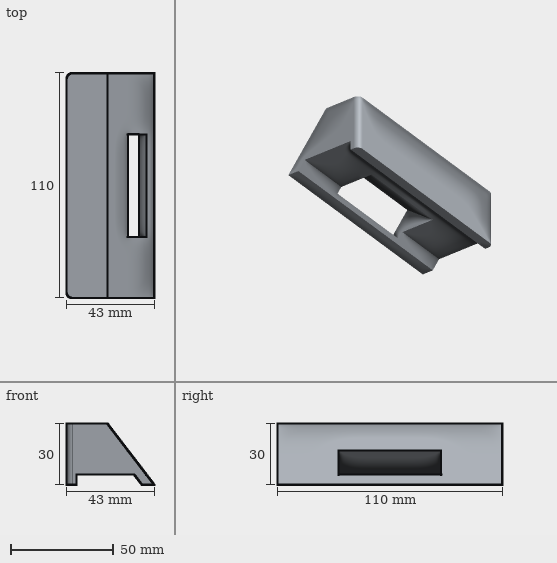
import cadquery as cq
import math

depth = 43.0
length = 110.0
height = 30.0
top_depth = 20.0

back_foot_width = 5.0
front_foot_width = 6.1
channel_height = 5.0
corner_radius = 3.0

window_width = 14.95
window_length = 50.0
window_top_x = 30.12

slope_run = depth - top_depth
slope_length = math.hypot(slope_run, height)
slope_unit_x = slope_run / slope_length
slope_unit_z = height / slope_length


def make_body():
    """Sloped block on two feet, with its vertical back edges rounded."""
    foot_inner_x = depth - front_foot_width
    channel_corner_x = foot_inner_x - channel_height * slope_run / height
    profile = [
        (0, 0),
        (back_foot_width, 0),
        (back_foot_width, channel_height),
        (channel_corner_x, channel_height),
        (foot_inner_x, 0),
        (depth, 0),
        (top_depth, height),
        (0, height),
    ]
    block = cq.Workplane("XZ").polyline(profile).close().extrude(length / 2, both=True)
    return block.edges("|Z and <X").fillet(corner_radius)


def make_window_cutter():
    """Box square to the slope, reaching from its surface through the underside."""
    center_x = window_top_x + window_width / 2 * slope_unit_x
    center_z = (depth - center_x) * height / slope_run
    slope_plane = cq.Plane(
        origin=(center_x, 0, center_z),
        xDir=(slope_unit_x, 0, -slope_unit_z),
        normal=(slope_unit_z, 0, slope_unit_x),
    )
    upper_z = (depth - window_top_x) * height / slope_run
    reach = upper_z / slope_unit_x
    return cq.Workplane(slope_plane).rect(window_width, window_length).extrude(-reach)


result = make_body().cut(make_window_cutter())